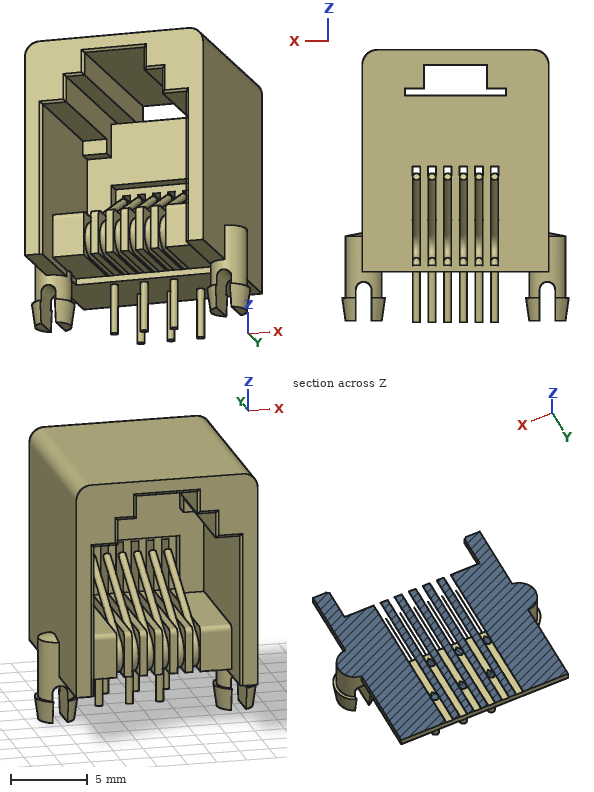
import cadquery as cq
import math


width = 12.2
depth = 13.0
height = 14.5
overall_height = 17.8
top_edge_radius = 1.0

cavity_half_width = 4.91
cavity_ceiling = 10.24
key_half_width = 3.3
key_ceiling = 11.96
latch_half_width = 2.05
latch_ceiling = 13.5
mouth_chamfer = 0.18
mouth_chamfer_depth = 0.12

tongue_front = 2.33
tongue_bottom = 0.43
tongue_top = 3.42
tongue_edge_radius = 0.35
base_front = 7.48
wall_front = 9.97
wall_top = 11.52
shoulder_bottom = 9.25
shoulder_depth = 1.0
recess_top = 7.35
recess_depth = 1.0

contact_count = 6
contact_span = 5.1
contact_pitch = contact_span / (contact_count - 1)
contact_diameter = 0.5
contact_radius = contact_diameter / 2
contact_bottom = height - overall_height
pin_rows = [8.3, 10.85]
pin_bend_radius = 0.5
curl_radius = 1.01
curl_center_y = 3.65
spring_angle = 27.0
spring_top = 6.45
slot_top = 6.87

peg_x = 6.0
peg_y = 5.96
peg_radius = 1.2
peg_rim = 2.33
peg_tip = 2.56
barb_radius = 1.4
barb_top = -1.69
peg_bottom = -3.2
peg_slot_width = 1.0
peg_slot_top = -0.65

contact_xs = [(i - (contact_count - 1) / 2) * contact_pitch for i in range(contact_count)]


def box(half_width, y_range, z_range):
    """Block centred on X = 0."""
    y0, y1 = y_range
    z0, z1 = z_range
    block = cq.Workplane("XY").box(2 * half_width, y1 - y0, z1 - z0)
    return block.translate((0, (y0 + y1) / 2, (z0 + z1) / 2))


def cavity_outline(plane, grow):
    """Stepped plug outline, open through the underside, enlarged by `grow`."""
    wide = cavity_half_width + grow
    key = key_half_width + grow
    latch = latch_half_width + grow
    right_side = [
        (wide, 0),
        (wide, cavity_ceiling + grow),
        (key, cavity_ceiling + grow),
        (key, key_ceiling + grow),
        (latch, key_ceiling + grow),
        (latch, latch_ceiling + grow),
    ]
    left_side = [(-x, z) for x, z in reversed(right_side)]
    return plane.polyline(right_side + left_side).close()


def make_shell():
    """Block with rounded top edges and the stepped cavity running right through it."""
    shell = box(width / 2, (0, depth), (0, height)).edges("|Y and >Z").fillet(top_edge_radius)
    cavity = cavity_outline(cq.Workplane("XZ"), 0).extrude(-depth)
    mouth = cavity_outline(cq.Workplane("XZ"), mouth_chamfer)
    mouth = cavity_outline(mouth.workplane(offset=-mouth_chamfer_depth), 0).loft(ruled=True)
    return shell.cut(cavity).cut(mouth)


def make_interior():
    """Tongue, base and rear wall that close the lower part of the cavity."""
    tongue = box(cavity_half_width, (tongue_front, depth), (tongue_bottom, tongue_top))
    tongue = tongue.edges("|X and <Y and >Z").fillet(tongue_edge_radius)
    base = box(cavity_half_width, (base_front, depth), (0, tongue_top))
    wall = box(cavity_half_width, (wall_front, depth), (tongue_top, cavity_ceiling))
    upper_wall = box(key_half_width, (wall_front, depth), (cavity_ceiling, wall_top))
    shoulder_y = (wall_front - shoulder_depth, wall_front)
    shoulder_z = (shoulder_bottom, cavity_ceiling)
    shoulders = box(cavity_half_width, shoulder_y, shoulder_z).cut(box(key_half_width, shoulder_y, shoulder_z))
    recess = box(key_half_width, (wall_front, wall_front + recess_depth), (tongue_top, recess_top))
    wall = wall.union(upper_wall).cut(recess)
    return tongue.union(base).union(wall).union(shoulders)


def make_peg(x):
    """Round peg with a conical tip, a tapered snap barb and a split lower end."""
    profile = [
        (0, peg_bottom),
        (peg_radius, peg_bottom),
        (barb_radius, barb_top),
        (peg_radius, barb_top),
        (peg_radius, peg_rim),
        (0, peg_tip),
    ]
    peg = cq.Workplane("XZ").polyline(profile).close().revolve(360, (0, 0, 0), (0, 1, 0))
    arch_center = peg_slot_top - peg_slot_width / 2
    split = box(peg_slot_width / 2, (-barb_radius, barb_radius), (peg_bottom, arch_center))
    arch = cq.Workplane("XZ").center(0, arch_center).circle(peg_slot_width / 2).extrude(barb_radius, both=True)
    return peg.cut(split).cut(arch).translate((x, peg_y, 0))


def make_contact(x, pin_y):
    """Round wire: board pin, run along the tongue floor, curl at the front, sloping spring arm."""
    run_z = tongue_bottom + contact_radius
    curl_center_z = run_z + curl_radius
    angle = math.radians(spring_angle)
    arm_start_y = curl_center_y - curl_radius * math.sin(angle)
    arm_start_z = curl_center_z + curl_radius * math.cos(angle)
    arm_end_z = spring_top - contact_radius * math.cos(angle)
    arm_end_y = arm_start_y + (arm_end_z - arm_start_z) / math.tan(angle)
    path = (
        cq.Workplane("YZ", origin=(x, 0, 0))
        .moveTo(pin_y, contact_bottom)
        .lineTo(pin_y, run_z - pin_bend_radius)
        .tangentArcPoint((pin_y - pin_bend_radius, run_z), relative=False)
        .lineTo(curl_center_y, run_z)
        .tangentArcPoint((arm_start_y, arm_start_z), relative=False)
        .lineTo(arm_end_y, arm_end_z)
    )
    section = cq.Workplane("XY", origin=(x, pin_y, contact_bottom)).circle(contact_radius)
    return section.sweep(path)


contacts = []
for i, x in enumerate(contact_xs):
    contacts.append(make_contact(x, pin_rows[i % len(pin_rows)]))

housing = make_shell().union(make_interior())
for x in (-peg_x, peg_x):
    housing = housing.union(make_peg(x))

for x, contact in zip(contact_xs, contacts):
    slot = box(contact_radius, (0, depth), (tongue_bottom, slot_top)).translate((x, 0, 0))
    housing = housing.cut(slot).cut(contact)

result = cq.Compound.makeCompound([housing.solids().val(), *[contact.val() for contact in contacts]])